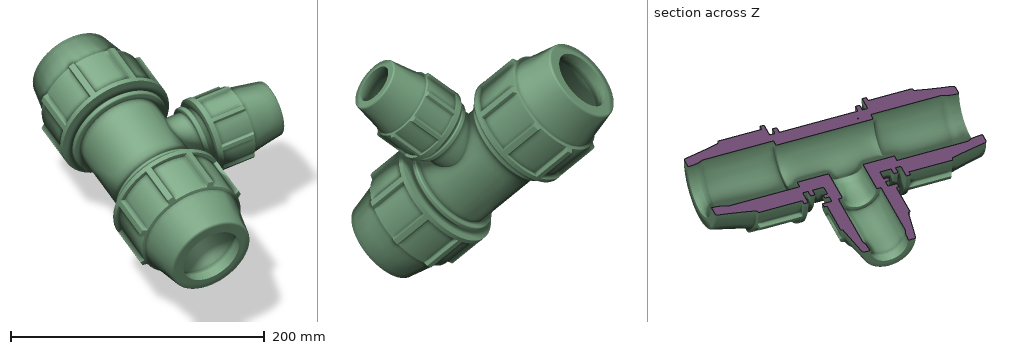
import cadquery as cq
import math


run_length = 230.0
run_outer_diameter = 96.0
overall_width = 165.0
branch_reach = overall_width - run_outer_diameter / 2

rib_count = 8
rib_pitch = 360 / rib_count
bevel_slope = 0.35

ring_thickness = 4.1
ring_rounding = 1.04

run_end = dict(
    lip_diameter=69.5,
    lip_rounding=1.8,
    taper_diameter=83.5,
    taper_length=31.7,
    grip_diameter=88.5,
    rib_tip_width=4.8,
    rib_root_width=6.5,
    rib_root_fillet=1.0,
    flange_start=69.7,
    flange_end=73.5,
    flange_diameter=run_outer_diameter,
    ring_start=77.7,
    ring_diameter=83.5,
    tube_diameter=72.0,
    mouth_diameter=50.0,
    throat_depth=9.0,
    throat_diameter=52.0,
    socket_start=13.8,
    socket_diameter=56.1,
    bore_diameter=45.0,
)

branch_end = dict(
    lip_diameter=45.3,
    lip_rounding=1.5,
    taper_diameter=55.7,
    taper_length=29.7,
    grip_diameter=59.0,
    rib_tip_width=3.2,
    rib_root_width=5.3,
    rib_root_fillet=0.7,
    flange_start=59.8,
    flange_end=64.2,
    flange_diameter=64.0,
    ring_start=69.0,
    ring_diameter=55.7,
    tube_diameter=48.0,
    mouth_diameter=32.0,
    throat_depth=7.8,
    throat_diameter=33.4,
    socket_start=12.2,
    socket_diameter=35.9,
    bore_diameter=28.8,
)


def revolved(outline):
    """Solid of revolution about Z from (diameter, height) corners; the axis closes the outline."""
    bottom = outline[0][1]
    top = outline[-1][1]
    corners = [(diameter / 2, height) for diameter, height in outline]
    profile = cq.Workplane("XZ").polyline([(0, bottom)] + corners + [(0, top)]).close()
    return profile.revolve(360, (0, 0, 0), (0, 1, 0))


def disc(diameter, start, end):
    return cq.Workplane("XY").workplane(offset=start).circle(diameter / 2).extrude(end - start)


def nut(end):
    """Compression nut: rounded lip, tapered collar, beveled grip with ribs, and flange."""
    tip = end["flange_diameter"]
    bevel_length = bevel_slope * (tip - end["taper_diameter"]) / 2
    blank = revolved([
        (end["lip_diameter"], 0),
        (end["taper_diameter"], end["taper_length"]),
        (tip, end["taper_length"] + bevel_length),
        (tip, end["flange_end"]),
    ])
    shape = blank.faces("<Z").edges().fillet(end["lip_rounding"])
    groove = grip_groove(end)
    for index in range(rib_count):
        shape = shape.cut(groove.rotate((0, 0, 0), (0, 0, 1), rib_pitch * index))
    return shape


def grip_groove(end):
    """Space between two neighboring ribs, centered on +X, with a round floor and drafted sides."""
    floor = end["grip_diameter"] / 2
    tip = end["flange_diameter"] / 2
    floor_angle = math.radians(rib_pitch / 2) - math.asin(end["rib_root_width"] / 2 / floor)
    tip_angle = math.radians(rib_pitch / 2) - math.asin(end["rib_tip_width"] / 2 / tip)
    floor_corner = (floor * math.cos(floor_angle), floor * math.sin(floor_angle))
    tip_corner = (tip * math.cos(tip_angle), tip * math.sin(tip_angle))
    outside = [2 * at_tip - at_floor for at_tip, at_floor in zip(tip_corner, floor_corner)]
    groove = (
        cq.Workplane("XY")
        .moveTo(floor_corner[0], -floor_corner[1])
        .threePointArc((floor, 0), floor_corner)
        .lineTo(outside[0], outside[1])
        .threePointArc((math.hypot(*outside), 0), (outside[0], -outside[1]))
        .close()
        .extrude(end["flange_start"])
    )
    mid_radius = (floor + tip) / 2
    floor_edges = cq.selectors.BoxSelector((0, -tip, 0), (mid_radius, tip, end["flange_start"]))
    return groove.edges("|Z").edges(floor_edges).fillet(end["rib_root_fillet"])


def stop_ring(end):
    ring = disc(end["ring_diameter"], end["ring_start"], end["ring_start"] + ring_thickness)
    return ring.edges().fillet(ring_rounding)


def socket(end):
    """Room for the pipe: flared mouth, then a straight socket with a flat stop under the flange."""
    return revolved([
        (end["mouth_diameter"], 0),
        (end["throat_diameter"], end["throat_depth"]),
        (end["socket_diameter"], end["socket_start"]),
        (end["socket_diameter"], end["flange_end"]),
    ])


def on_left(shape):
    return shape.rotate((0, 0, 0), (0, 1, 0), 90).translate((-run_length / 2, 0, 0))


def on_right(shape):
    return on_left(shape).mirror("YZ")


def on_branch(shape):
    return shape.rotate((0, 0, 0), (1, 0, 0), 90).translate((0, branch_reach, 0))


run_tube_end = run_length - run_end["flange_end"]
run_tube = on_left(disc(run_end["tube_diameter"], run_end["flange_end"], run_tube_end))
branch_tube = on_branch(disc(branch_end["tube_diameter"], branch_end["flange_end"], branch_reach))
result = run_tube.union(branch_tube)

for feature in (nut, stop_ring):
    result = result.union(on_left(feature(run_end)))
    result = result.union(on_right(feature(run_end)))
    result = result.union(on_branch(feature(branch_end)))

result = result.cut(on_left(socket(run_end)))
result = result.cut(on_right(socket(run_end)))
result = result.cut(on_branch(socket(branch_end)))
result = result.cut(on_left(disc(run_end["bore_diameter"], 0, run_length)))
result = result.cut(on_branch(disc(branch_end["bore_diameter"], 0, branch_reach)))